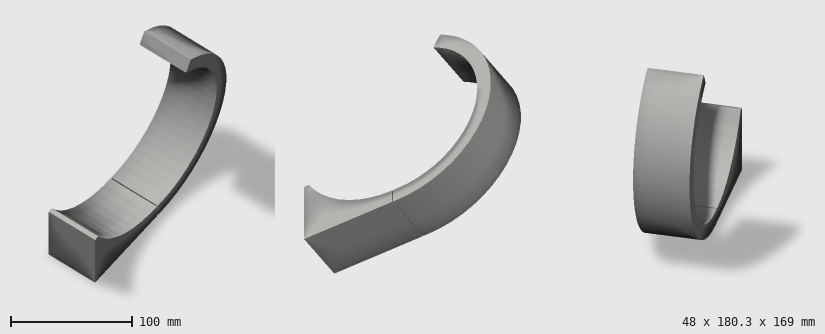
import cadquery as cq
import math

width = 48.0
total_length = 180.3
total_height = 169.0

wall = 13.2
straight_run = 5.0
tip_angle = math.radians(30)
hook_outer_radius = (total_height - straight_run * math.sin(tip_angle)) / (1 + math.cos(tip_angle))
hook_inner_radius = hook_outer_radius - wall
hook_foot_y = -straight_run

gap = 1.0
block_front_y = hook_foot_y - gap
block_back_y = hook_outer_radius - total_length
block_bottom_z = -hook_outer_radius
block_height = 60.0
land = 4.5


def arc_end(radius):
    """Point in the YZ plane where the arc of this radius meets the tip run."""
    return (radius * math.sin(tip_angle), radius * math.cos(tip_angle))


def tip_corner(radius):
    """End of the straight tip run that leaves the arc of this radius."""
    end_y, end_z = arc_end(radius)
    return (
        end_y - straight_run * math.cos(tip_angle),
        end_z + straight_run * math.sin(tip_angle),
    )


def extrude_across_width(outline):
    """Extrude a closed YZ outline equally to both sides of X = 0."""
    return outline.extrude(width / 2, both=True)


def make_hook():
    outline = (
        cq.Workplane("YZ")
        .moveTo(hook_foot_y, -hook_outer_radius)
        .lineTo(0, -hook_outer_radius)
        .threePointArc((hook_outer_radius, 0), arc_end(hook_outer_radius))
        .lineTo(*tip_corner(hook_outer_radius))
        .lineTo(*tip_corner(hook_inner_radius))
        .lineTo(*arc_end(hook_inner_radius))
        .threePointArc((hook_inner_radius, 0), (0, -hook_inner_radius))
        .lineTo(hook_foot_y, -hook_inner_radius)
        .close()
    )
    return extrude_across_width(outline)


def make_base_block():
    top_z = block_bottom_z + block_height
    front_top_z = block_bottom_z + wall
    land_y = block_back_y + land

    run = block_front_y - land_y
    rise = top_z - front_top_z
    arc_radius = (run**2 + rise**2) / (2 * rise)
    half_sweep = math.atan2(rise, run)
    arc_middle = (
        block_front_y - arc_radius * math.sin(half_sweep),
        front_top_z + arc_radius * (1 - math.cos(half_sweep)),
    )
    outline = (
        cq.Workplane("YZ")
        .moveTo(block_front_y, block_bottom_z)
        .lineTo(block_front_y, front_top_z)
        .threePointArc(arc_middle, (land_y, top_z))
        .lineTo(block_back_y, top_z)
        .lineTo(block_back_y, block_bottom_z)
        .close()
    )
    return extrude_across_width(outline)


hook = make_hook()
base_block = make_base_block()

result = cq.Compound.makeCompound([hook.val(), base_block.val()])